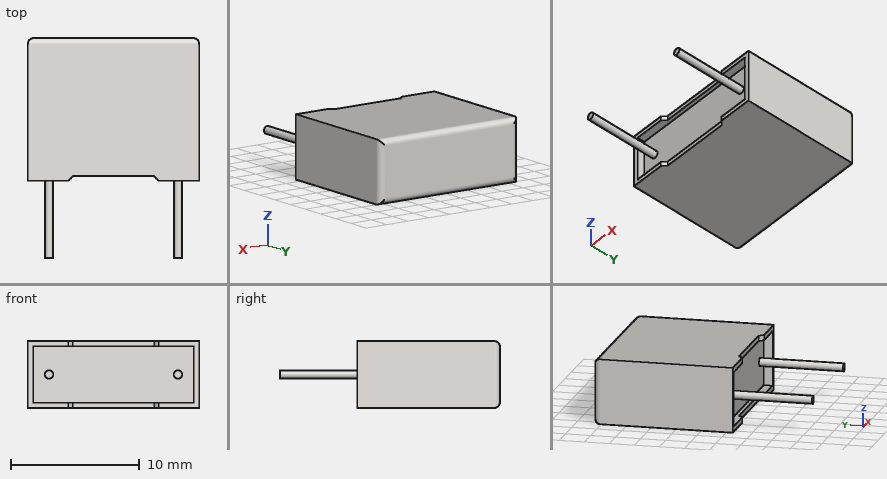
import cadquery as cq

case_width = 13.3
case_height = 5.22
total_length = 17.1
lead_reach = 6.0
case_length = total_length - lead_reach
wall = 0.43
back_fillet = 0.5

resin_setback = 0.7
resin_depth = case_length - wall - resin_setback
cavity_width = case_width - 2 * wall
cavity_height = case_height - 2 * wall

notch_width = 7.01
notch_depth = 0.36

lead_diameter = 0.65
lead_pitch = 10.0
lead_length = lead_reach + resin_setback


def cavity_block(front_y, back_y):
    """Block that fills the case cavity between two Y positions."""
    return (
        cq.Workplane("XY")
        .box(cavity_width, back_y - front_y, cavity_height)
        .translate((0, (front_y + back_y) / 2, 0))
    )


def rim_notch():
    """Trapezoid cutter crossing both broad walls at the rim (y = 0)."""
    half_mouth = notch_width / 2
    half_floor = half_mouth - notch_depth
    return (
        cq.Workplane("XY")
        .polyline([
            (-half_mouth, 0),
            (half_mouth, 0),
            (half_floor, notch_depth),
            (-half_floor, notch_depth),
        ])
        .close()
        .extrude(case_height / 2, both=True)
    )


def make_case():
    """Box open toward -Y, with rounded edges around its closed back."""
    shell = (
        cq.Workplane("XY")
        .box(case_width, case_length, case_height)
        .translate((0, case_length / 2, 0))
        .faces(">Y")
        .edges()
        .fillet(back_fillet)
    )
    cavity = cavity_block(0, case_length - wall)
    return shell.cut(cavity).cut(rim_notch())


def make_resin():
    """Resin block filling the cavity behind the setback."""
    return cavity_block(resin_setback, resin_setback + resin_depth)


def make_lead(x):
    """Round wire running from the resin face toward -Y."""
    return (
        cq.Workplane("XZ", origin=(x, resin_setback, 0))
        .circle(lead_diameter / 2)
        .extrude(lead_length)
    )


case = make_case()
resin = make_resin()
leads = [make_lead(side * lead_pitch / 2) for side in (-1, 1)]

result = cq.Compound.makeCompound([
    case.val(),
    resin.val(),
    *[lead.val() for lead in leads],
])